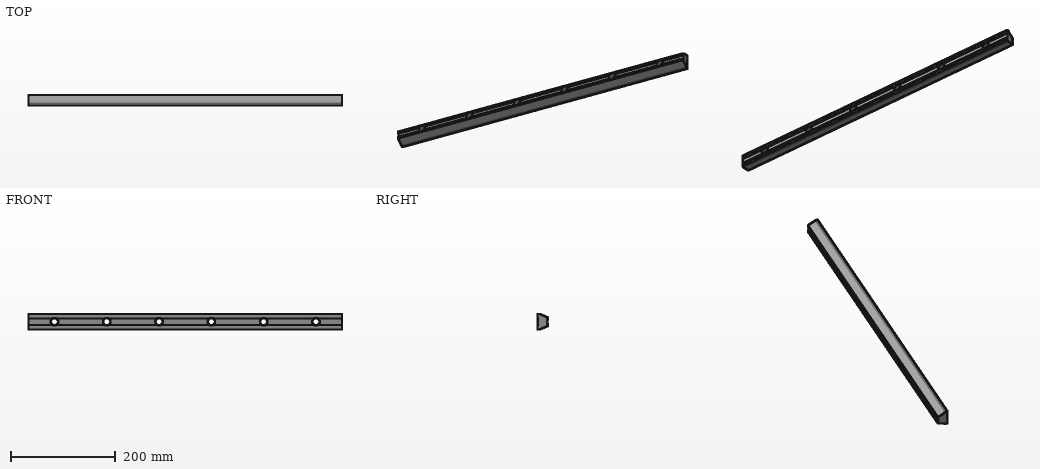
import cadquery as cq

length = 599.5
depth = 20.5
height = 30.0

flat_depth = 4.5
back_height = 16.0
shoulder_radius = 4.0

front_relief_height = 12.5
front_relief_depth = 0.5
back_groove_height = 8.5
back_groove_depth = 1.5

hole_diameter = 14.0
hole_count = 6
hole_pitch = length / hole_count

front_y = -depth / 2
back_y = depth / 2


def make_body():
    """Extrude the symmetric tapered profile along X and round its two shoulders."""
    half_profile = [
        (front_y, height / 2),
        (front_y + flat_depth, height / 2),
        (back_y, back_height / 2),
    ]
    mirrored_half = [(y, -z) for y, z in reversed(half_profile)]
    profile = cq.Workplane("YZ").polyline(half_profile + mirrored_half).close()
    body = profile.extrude(length).translate((-length / 2, 0, 0))
    shoulder_y = front_y + flat_depth
    for side in (-1, 1):
        shoulder = cq.selectors.NearestToPointSelector((0, shoulder_y, side * height / 2))
        body = body.edges("|X").edges(shoulder).fillet(shoulder_radius)
    return body


def make_groove(face_y, groove_depth, groove_height):
    """Full-length rectangular groove of the given depth below a face at face_y."""
    return cq.Workplane("XY").box(length, 2 * groove_depth, groove_height).translate((0, face_y, 0))


def make_holes():
    """Through holes along Y, half a pitch in from each end."""
    row = cq.Workplane("XZ").rarray(hole_pitch, 6, hole_count, 1)
    return row.circle(hole_diameter / 2).extrude(depth, both=True)


result = (
    make_body()
    .cut(make_groove(front_y, front_relief_depth, front_relief_height))
    .cut(make_groove(back_y, back_groove_depth, back_groove_height))
    .cut(make_holes())
)